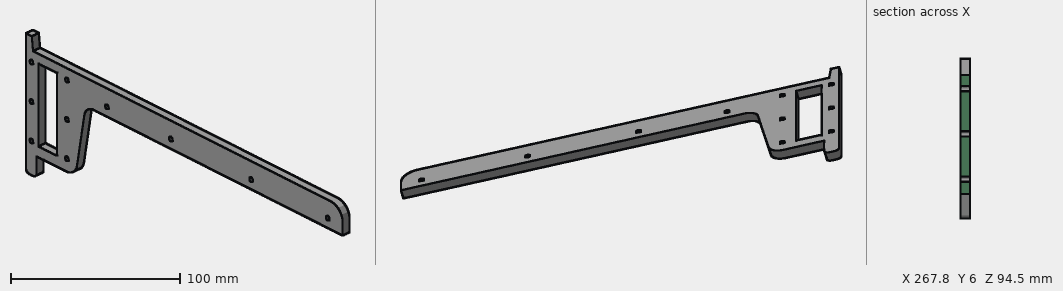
import cadquery as cq

length = 267.8
thickness = 6.0
height = 94.5

arm_bottom = 65.5
arm_top = 85.0
arm_end_radius = 10.2

tab_top_width = 5.0
tab_base_width = 6.2
foot_width = 9.0
foot_radius = 3.0

web_bottom = 14.5
web_bottom_width = 42.0
web_top_width = 50.5
web_outer_radius = 9.0
web_inner_radius = 8.0

window_left = 10.7
window_width = 15.5
window_bottom = 22.0
window_height = 56.2

hole_diameter = 3.0
web_hole_columns = (4.8, 34.8)
web_hole_lowest = 23.3
web_hole_pitch = 26.8
web_hole_rows = 3
arm_hole_height = 72.3
arm_hole_positions = (68.5, 122.7, 190.5, 255.2)


def round_corner(body, x, z, radius):
    """Round the through-thickness edge at the outline corner (x, z)."""
    margin = 0.3
    edge = cq.selectors.BoxSelector(
        (x - margin, -thickness, z - margin),
        (x + margin, thickness, z + margin),
    )
    return body.edges("|Y").edges(edge).fillet(radius)


outline = [
    (0, 0),
    (foot_width, 0),
    (foot_width, web_bottom),
    (web_bottom_width, web_bottom),
    (web_top_width, arm_bottom),
    (length, arm_bottom),
    (length, arm_top),
    (tab_base_width, arm_top),
    (tab_top_width, height),
    (0, height),
]
plate = cq.Workplane("XZ").polyline(outline).close().extrude(thickness / 2, both=True)

rounded_corners = [
    (0, 0, foot_radius),
    (foot_width, 0, foot_radius),
    (web_bottom_width, web_bottom, web_outer_radius),
    (web_top_width, arm_bottom, web_inner_radius),
    (length, arm_top, arm_end_radius),
]
for corner_x, corner_z, radius in rounded_corners:
    plate = round_corner(plate, corner_x, corner_z, radius)

window = (
    cq.Workplane("XZ")
    .center(window_left + window_width / 2, window_bottom + window_height / 2)
    .rect(window_width, window_height)
    .extrude(thickness, both=True)
)

web_holes = [
    (x, web_hole_lowest + row * web_hole_pitch)
    for x in web_hole_columns
    for row in range(web_hole_rows)
]
arm_holes = [(x, arm_hole_height) for x in arm_hole_positions]
holes = (
    cq.Workplane("XZ")
    .pushPoints(web_holes + arm_holes)
    .circle(hole_diameter / 2)
    .extrude(thickness, both=True)
)

result = plate.cut(window).cut(holes)